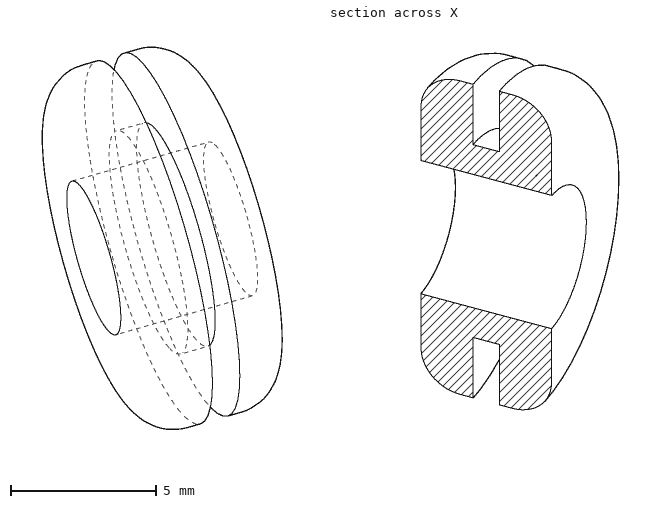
import cadquery as cq

flange_diameter = 13.0
neck_diameter = 8.0
bore_diameter = 5.5
groove_width = 1.0
flange_thickness = 2.0
rim_radius = 1.5

total_width = 2 * flange_thickness + groove_width


def disc(diameter, width):
    """Solid disc about the Y axis, centred on the origin."""
    return cq.Workplane("XZ", origin=(0, width / 2, 0)).circle(diameter / 2).extrude(width)


def rounded_body():
    """Full-width disc with both outer rims rounded."""
    return disc(flange_diameter, total_width).edges("%CIRCLE").fillet(rim_radius)


def groove():
    """Ring of material between the flanges, outside the neck."""
    return disc(flange_diameter, groove_width).cut(disc(neck_diameter, groove_width))


def bore():
    """Straight through-hole along the Y axis."""
    return disc(bore_diameter, total_width)


result = rounded_body().cut(groove()).cut(bore())